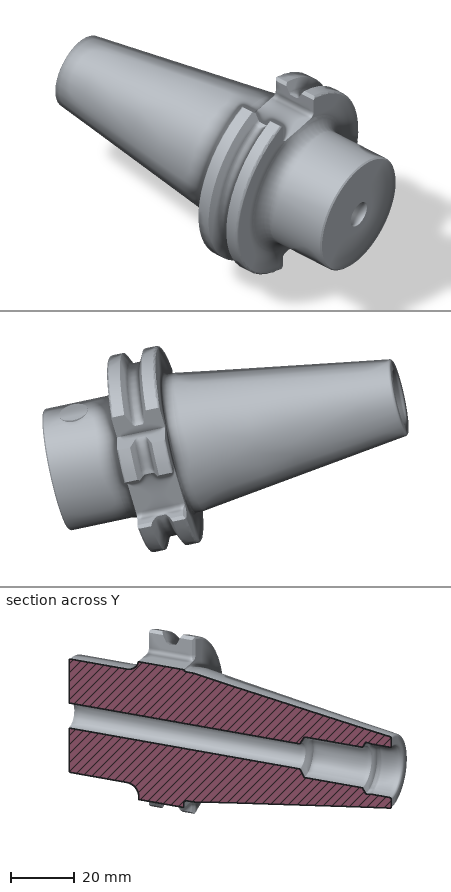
import cadquery as cq
import math


gauge_x = 68.3
gauge_radius = 22.2
taper_per_length = 7 / 24
small_end_radius = gauge_radius - gauge_x * taper_per_length / 2
small_end_round = 0.8

flange_rear_x = 71.5
flange_front_x = 87.2
flange_radius = 31.7
flange_edge_round = 0.7
rear_corner_round = 0.7
groove_centre_x = 79.4
groove_mouth_width = 7.0
groove_bottom_radius = 27.9
groove_half_angle = math.radians(27)
groove_bottom_round = 1.0

nose_end_x = 111.2
nose_radius = 19.6
nose_corner_round = 4.0
nose_chamfer = 0.5

pilot_radius = 8.6
pilot_depth = 7.1
pilot_mouth_round = 0.7
relief_radius = 8.8
relief_start_x = 7.9
relief_end_x = 8.9
thread_radius = 6.9
thread_end_x = 30.0
coolant_radius = 4.2
bore_step_half_angle = math.radians(60)

slot_width = 16.0
slot_edge_chamfer = 0.9
slot_floor_round = 1.6
upper_slot_floor = 22.8
lower_slot_floor = 24.7

notch_y = 18.4
notch_z = 18.2

screw_x = 101.0
screw_radius = 4.7
screw_length = 8.9


def turned(outline):
    return outline.close().revolve(360, (0, 0, 0), (1, 0, 0))


def arc_middle(centre, radius, angle_degrees):
    angle = math.radians(angle_degrees)
    return (centre[0] + radius * math.cos(angle), centre[1] + radius * math.sin(angle))


def make_outer_body():
    rear_round_centre = (flange_rear_x - rear_corner_round, gauge_radius + rear_corner_round)
    nose_round_centre = (flange_front_x + nose_corner_round, nose_radius + nose_corner_round)
    outline = (
        cq.Workplane("XY")
        .moveTo(0, 0)
        .lineTo(0, small_end_radius)
        .lineTo(gauge_x, gauge_radius)
        .lineTo(flange_rear_x - rear_corner_round, gauge_radius)
        .threePointArc(
            arc_middle(rear_round_centre, rear_corner_round, -45),
            (flange_rear_x, gauge_radius + rear_corner_round),
        )
        .lineTo(flange_rear_x, flange_radius)
        .lineTo(flange_front_x, flange_radius)
        .lineTo(flange_front_x, nose_radius + nose_corner_round)
        .threePointArc(
            arc_middle(nose_round_centre, nose_corner_round, 225),
            (flange_front_x + nose_corner_round, nose_radius),
        )
        .lineTo(nose_end_x - nose_chamfer, nose_radius)
        .lineTo(nose_end_x, nose_radius - nose_chamfer)
        .lineTo(nose_end_x, 0)
    )
    rims = cq.selectors.RadiusNthSelector(-1)
    body = turned(outline).edges("%CIRCLE").edges(rims).fillet(flange_edge_round)
    return body.faces("<X").edges().fillet(small_end_round)


def make_groove():
    mouth_half = groove_mouth_width / 2
    bottom_half = mouth_half - (flange_radius - groove_bottom_radius) * math.tan(groove_half_angle)
    outline = (
        cq.Workplane("XY")
        .moveTo(groove_centre_x - mouth_half, flange_radius)
        .lineTo(groove_centre_x - bottom_half, groove_bottom_radius)
        .lineTo(groove_centre_x + bottom_half, groove_bottom_radius)
        .lineTo(groove_centre_x + mouth_half, flange_radius)
    )
    bottom = cq.selectors.RadiusNthSelector(0)
    return turned(outline).edges("%CIRCLE").edges(bottom).fillet(groove_bottom_round)


def make_bore():
    relief_step_length = (relief_radius - thread_radius) / math.tan(bore_step_half_angle)
    tip_length = (thread_radius - coolant_radius) / math.tan(bore_step_half_angle)
    mouth_round_centre = (pilot_mouth_round, pilot_radius + pilot_mouth_round)
    return turned(
        cq.Workplane("XY")
        .moveTo(0, 0)
        .lineTo(0, pilot_radius + pilot_mouth_round)
        .threePointArc(
            arc_middle(mouth_round_centre, pilot_mouth_round, 225),
            (pilot_mouth_round, pilot_radius),
        )
        .lineTo(pilot_depth, pilot_radius)
        .lineTo(relief_start_x, relief_radius)
        .lineTo(relief_end_x, relief_radius)
        .lineTo(relief_end_x + relief_step_length, thread_radius)
        .lineTo(thread_end_x, thread_radius)
        .lineTo(thread_end_x + tip_length, coolant_radius)
        .lineTo(nose_end_x, coolant_radius)
        .lineTo(nose_end_x, 0)
    )


def make_slot(floor_height):
    """Slot cutter opening towards +Z, wider by a chamfer at the flange rear face and rim."""
    half_width = slot_width / 2
    height = flange_radius - floor_height
    length = flange_front_x + nose_corner_round - flange_rear_x
    channel = (
        cq.Workplane("XY")
        .box(length, slot_width, height, centered=(False, True, False))
        .translate((flange_rear_x, 0, floor_height))
        .edges("|X and <Z")
        .fillet(slot_floor_round)
    )
    wide = half_width + slot_edge_chamfer
    rear_flare_height = height + slot_edge_chamfer
    rear_flare = (
        cq.Workplane("YZ", origin=(flange_rear_x, 0, floor_height + rear_flare_height / 2))
        .sketch()
        .rect(2 * wide, rear_flare_height)
        .vertices("<Y")
        .fillet(slot_floor_round)
        .finalize()
        .extrude(slot_edge_chamfer, taper=45)
    )
    rim_z = math.sqrt(flange_radius**2 - wide**2)
    rim_flare = (
        cq.Workplane("YZ", origin=(flange_rear_x, 0, 0))
        .moveTo(-half_width, rim_z - slot_edge_chamfer)
        .lineTo(half_width, rim_z - slot_edge_chamfer)
        .lineTo(wide, rim_z)
        .lineTo(wide, flange_radius)
        .lineTo(-wide, flange_radius)
        .lineTo(-wide, rim_z)
        .close()
        .extrude(length)
    )
    return channel.union(rear_flare).union(rim_flare)


def make_notch():
    return (
        cq.Workplane("XY")
        .box(flange_front_x - flange_rear_x, flange_radius, flange_radius, centered=False)
        .translate((flange_rear_x, notch_y, -notch_z - flange_radius))
    )


def make_screw():
    return (
        cq.Workplane("XZ", origin=(screw_x, nose_radius, 0))
        .circle(screw_radius)
        .extrude(screw_length)
    )


def make_holder(screw):
    upper_slot = make_slot(upper_slot_floor)
    lower_slot = make_slot(lower_slot_floor).rotate((0, 0, 0), (1, 0, 0), 180)
    return (
        make_outer_body()
        .cut(make_groove())
        .cut(upper_slot)
        .cut(lower_slot)
        .cut(make_notch())
        .cut(make_bore())
        .cut(screw)
    )


set_screw = make_screw()
holder = make_holder(set_screw)
result = cq.Compound.makeCompound([holder.val(), set_screw.val()])